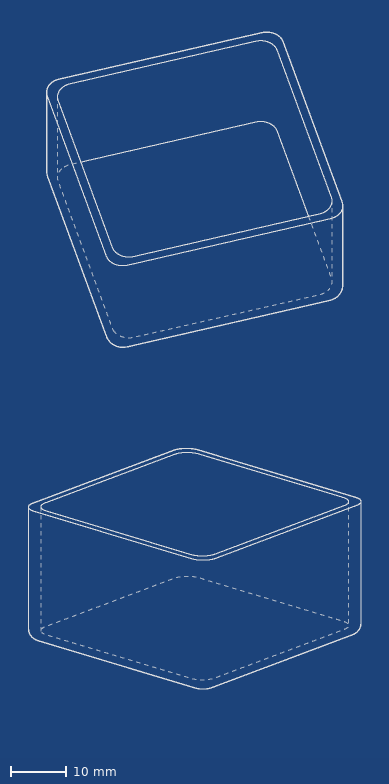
import cadquery as cq

side = 44.45
height = 25.4
wall = 1.6
floor_thickness = 1.6
corner_radius = 3.1
bottom_radius = 2.0
cavity_corner_radius = 3.1


def rounded_block(width, block_height, radius):
    """Square block standing on Z = 0 with rounded upright edges."""
    block = cq.Workplane("XY").box(width, width, block_height, centered=(True, True, False))
    return block.edges("|Z").fillet(radius)


body = rounded_block(side, height, corner_radius)
body = body.faces("<Z").edges().fillet(bottom_radius)

cavity = rounded_block(side - 2 * wall, height - floor_thickness, cavity_corner_radius)
cavity = cavity.translate((0, 0, floor_thickness))

result = body.cut(cavity)